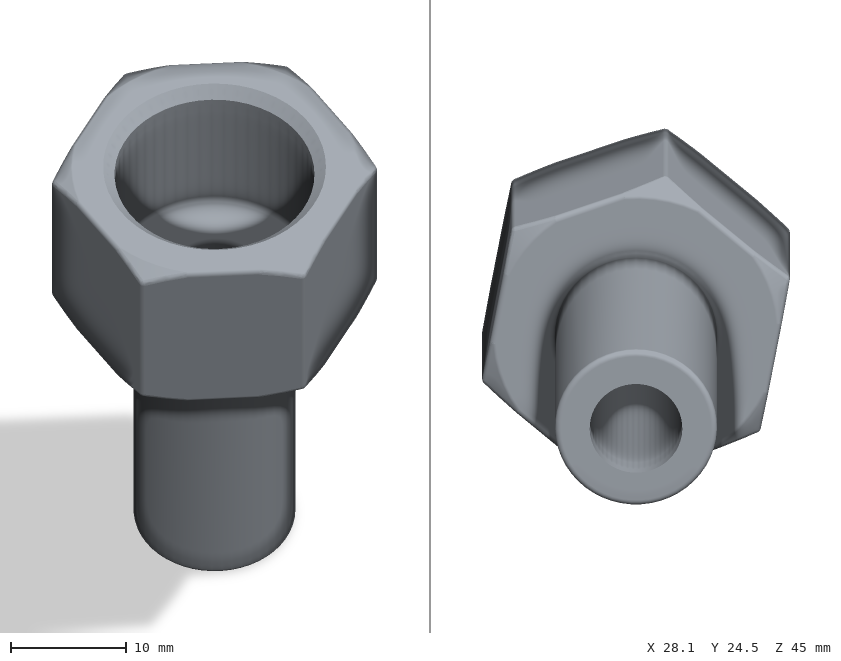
import cadquery as cq
import math

total_length = 45.0
edge_radius = 0.5

hex_sides = 6
across_flats = 24.5
head_height = 16.75
head_bottom = total_length - head_height
corner_bevel_angle = 30.0
bevel_start_radius = 12.3

stem_diameter = 14.0

socket_diameter = 17.3
socket_depth = 14.0
socket_chamfer = 1.0
bore_diameter = 8.0

across_corners = across_flats / math.cos(math.pi / hex_sides)


def bevel_envelope():
    """Solid of revolution that trims the hexagon corners at both ends of the head."""
    reach = across_corners / 2 + edge_radius
    drop = (reach - bevel_start_radius) * math.tan(math.radians(corner_bevel_angle))
    return (
        cq.Workplane("XZ")
        .moveTo(0, head_bottom)
        .lineTo(bevel_start_radius, head_bottom)
        .lineTo(reach, head_bottom + drop)
        .lineTo(reach, total_length - drop)
        .lineTo(bevel_start_radius, total_length)
        .lineTo(0, total_length)
        .close()
        .revolve(360, (0, 0, 0), (0, 1, 0))
    )


def hex_head():
    """Hexagon with corners along X, bevelled at both ends and rounded on every edge."""
    prism = (
        cq.Workplane("XY")
        .workplane(offset=head_bottom)
        .polygon(hex_sides, across_corners)
        .extrude(head_height)
    )
    return prism.intersect(bevel_envelope()).edges().fillet(edge_radius)


def stem():
    """Round shank, rounded at its free end and flared where it meets the head."""
    radius = stem_diameter / 2
    return (
        cq.Workplane("XZ")
        .lineTo(radius - edge_radius, 0)
        .radiusArc((radius, edge_radius), -edge_radius)
        .lineTo(radius, head_bottom - edge_radius)
        .radiusArc((radius + edge_radius, head_bottom), edge_radius)
        .lineTo(0, head_bottom)
        .close()
        .revolve(360, (0, 0, 0), (0, 1, 0))
    )


def cavity():
    """Socket with chamfered mouth and rounded floor corner, leading into the through bore."""
    socket_radius = socket_diameter / 2
    bore_radius = bore_diameter / 2
    floor = total_length - socket_depth
    return (
        cq.Workplane("XZ")
        .lineTo(bore_radius, 0)
        .lineTo(bore_radius, floor - edge_radius)
        .radiusArc((bore_radius + edge_radius, floor), edge_radius)
        .lineTo(socket_radius - edge_radius, floor)
        .radiusArc((socket_radius, floor + edge_radius), -edge_radius)
        .lineTo(socket_radius, total_length - socket_chamfer)
        .lineTo(socket_radius + socket_chamfer, total_length)
        .lineTo(0, total_length)
        .close()
        .revolve(360, (0, 0, 0), (0, 1, 0))
    )


result = hex_head().union(stem()).cut(cavity())